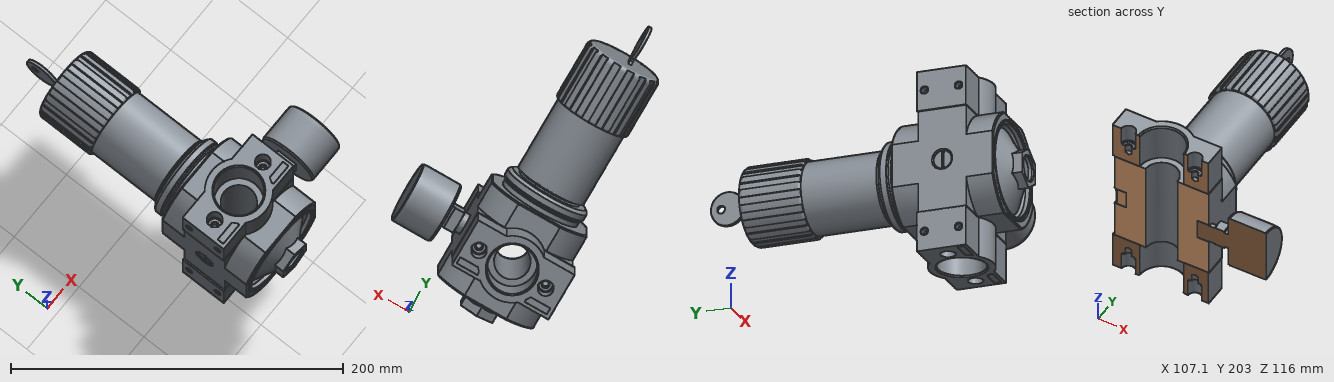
import cadquery as cq
import math


HOUSING_HALF_X = 33.0
HOUSING_HALF_Y = 33.0
HOUSING_HALF_Z = 32.7
HOUSING_RADIUS = 35.75
HOUSING_BAND_WIDTH = 31.0
HOUSING_EDGE_CHAMFER = 0.8
FLOW_BORE_DIAMETER = 22.0

PLATE_END_Z = 58.0
PLATE_MIN_X = -34.2
PLATE_MAX_X = 32.7
PLATE_WIDTH = 31.6
PLATE_BOSS_RADIUS = 20.45
PORT_DIAMETER = 30.29
PORT_CHAMFER = 0.9
SCREW_SPACING_X = 46.2
SCREW_HEAD_DIAMETER = 9.6
SCREW_HEAD_DEPTH = 12.0
SCREW_SEAT_DIAMETER = 8.5
SCREW_SEAT_DEPTH = 1.0
SCREW_HOLE_MOUTH_DIAMETER = 5.0
SCREW_HOLE_DIAMETER = 4.13
SCREW_HOLE_DEPTH = 5.0
SIDE_HOLE_SPACING_Y = 22.0
SIDE_HOLE_Z = 45.7
SIDE_HOLE_DIAMETER = 4.13
SIDE_HOLE_MOUTH_DIAMETER = 5.0
SIDE_HOLE_DEPTH = 5.0
DRILL_TIP_ANGLE = 118.0

LABEL_DEPTH = 0.3
LABEL_TOP_Y = -9.2
LABEL_BOTTOM_Y = -13.5
LABEL_INNER_X = 16.4
LABEL_SLANT_X = 1.8
LABEL_SLANT_Y = 2.8
LABEL_LEFT_END_X = 31.7
LABEL_RIGHT_END_X = 30.8

CAP_RADIUS = 30.2
CAP_MOUTH_CHAMFER = 0.8
CAP_RIM_CHAMFER = 0.5
CAP_RIM_INNER_RADIUS = 28.6
CAP_WALL_FOOT_Y = -29.9
CAP_RIM_Y = -32.6
CAP_BACK_Y = -20.0
CONE_OUTER_RADIUS = 26.9
CONE_OUTER_Y = -28.2
CONE_SLOPE = 0.583
CAP_HEX_ACROSS_FLATS = 22.0
CAP_HEX_END_Y = -43.0
CAP_SOCKET_DIAMETER = 14.95
CAP_SOCKET_MOUTH_DIAMETER = 16.66
CAP_SOCKET_DEPTH = 3.0

NUT_COLLAR_RADIUS = 27.4
NUT_COLLAR_TOP_Y = 44.3
NUT_COLLAR_BOTTOM_Y = 38.4
NUT_BEVEL_LENGTH = 1.0
NUT_BEVEL_OUTER_DEPTH = 0.8
NUT_BEVEL_INNER_DEPTH = 1.4
NUT_LIP_WIDTH = 1.2
NUT_LIP_HEIGHT = 1.1
NUT_STEP_RADIUS = 26.5
NUT_STEP_TAPER_Y = 37.2
NUT_STEP_BOTTOM_Y = 36.1
NUT_FOOT_RADIUS = 25.8

BONNET_NECK_DIAMETER = 39.0
BONNET_SHOULDER_Y = 46.5
BONNET_RADIUS = 22.75

KNOB_BOTTOM_Y = 94.9
KNOB_TOP_Y = 135.2
KNOB_RADIUS = 24.6
KNOB_TOP_FILLET = 3.2
KNOB_BOTTOM_FILLET = 1.8
KNOB_GROOVE_FLOOR_RADIUS = 23.5
KNOB_GROOVES = 16
GROOVE_CUT_MARGIN = 1.0

KEY_END_Y = 160.0
KEY_RADIUS = 10.75
KEY_THICKNESS = 2.0
KEY_MID_X = -3.4
KEY_HOLE_DIAMETER = 5.0
KEY_HOLE_Y = 153.4
KEY_NECK_UPPER_Z = 3.4
KEY_NECK_LOWER_Z = -4.7
KEY_FLARE_LENGTH = 2.0
KEY_FLARE_DEPTH = 1.3

STEM_DIAMETER = 13.16
STEM_HOLE_DEPTH = 8.0
GAUGE_SQUARE_START_X = 37.0
GAUGE_SQUARE_WIDTH = 13.9
GAUGE_FLATS_START_X = 43.6
GAUGE_FLATS_WIDTH = 11.7
GAUGE_CASE_START_X = 46.3
GAUGE_END_X = 72.9
GAUGE_RADIUS = 19.5
GAUGE_BACK_CHAMFER_LENGTH = 1.2
GAUGE_BACK_CHAMFER_DEPTH = 0.6
GAUGE_BEZEL_X = 69.6
GAUGE_BEZEL_TAPER = 0.2
GAUGE_FRONT_CHAMFER = 0.5
PLUG_DIAMETER = 11.45
PLUG_MOUTH_DIAMETER = STEM_DIAMETER
PLUG_HOLE_DEPTH = 8.0
PLUG_SLOT_LENGTH = 9.5
PLUG_SLOT_WIDTH = 1.4
PLUG_SLOT_DEPTH = 1.0


def turned_about_y(points):
    """Solid of revolution about Y from (radius, y) points."""
    return cq.Workplane("XY").polyline(points).close().revolve(360, (0, 0, 0), (0, 1, 0))


def turned_about_x(points):
    """Solid of revolution about X from (x, radius) points."""
    return cq.Workplane("XY").polyline(points).close().revolve(360, (0, 0, 0), (1, 0, 0))


def box_between(x_range, y_range, z_range):
    size = [high - low for low, high in (x_range, y_range, z_range)]
    return cq.Workplane("XY").box(*size, centered=False).translate((x_range[0], y_range[0], z_range[0]))


def drill_tip_height(radius):
    return radius / math.tan(math.radians(DRILL_TIP_ANGLE / 2))


def make_housing():
    core = turned_about_y([
        (0, -HOUSING_HALF_Y),
        (HOUSING_RADIUS, -HOUSING_HALF_Y),
        (HOUSING_RADIUS, HOUSING_HALF_Y),
        (0, HOUSING_HALF_Y),
    ])
    core = core.intersect(
        cq.Workplane("XY").box(2 * HOUSING_HALF_X, 2 * HOUSING_HALF_Y, 2 * HOUSING_HALF_Z)
    )
    core = core.faces("<Y or >Y").chamfer(HOUSING_EDGE_CHAMFER)
    band = cq.Workplane("XY").box(2 * HOUSING_HALF_X, HOUSING_BAND_WIDTH, 2 * HOUSING_HALF_Z)
    flow_bore = cq.Workplane("XY").circle(FLOW_BORE_DIAMETER / 2).extrude(HOUSING_HALF_Z, both=True)
    cap_seat = turned_about_y([
        (0, CAP_BACK_Y),
        (CAP_RADIUS, CAP_BACK_Y),
        (CAP_RADIUS, CAP_MOUTH_CHAMFER - HOUSING_HALF_Y),
        (CAP_RADIUS + CAP_MOUTH_CHAMFER, -HOUSING_HALF_Y),
        (0, -HOUSING_HALF_Y),
    ])
    stem_hole = turned_about_x([
        (HOUSING_HALF_X - STEM_HOLE_DEPTH, 0),
        (HOUSING_HALF_X - STEM_HOLE_DEPTH, STEM_DIAMETER / 2),
        (HOUSING_HALF_X, STEM_DIAMETER / 2),
        (HOUSING_HALF_X, 0),
    ])
    plug_chamfer = (PLUG_MOUTH_DIAMETER - PLUG_DIAMETER) / 2
    plug_hole = turned_about_x([
        (-HOUSING_HALF_X, 0),
        (-HOUSING_HALF_X, PLUG_MOUTH_DIAMETER / 2),
        (plug_chamfer - HOUSING_HALF_X, PLUG_DIAMETER / 2),
        (PLUG_HOLE_DEPTH - HOUSING_HALF_X, PLUG_DIAMETER / 2),
        (PLUG_HOLE_DEPTH - HOUSING_HALF_X, 0),
    ])
    return core.union(band).cut(flow_bore).cut(cap_seat).cut(stem_hole).cut(plug_hole)


def screw_hole(x):
    """Stepped blind hole from the plate end, closed by a drill tip."""
    seat_z = PLATE_END_Z - SCREW_HEAD_DEPTH
    hole_top_z = seat_z - SCREW_SEAT_DEPTH
    hole_bottom_z = hole_top_z - SCREW_HOLE_DEPTH
    hole_radius = SCREW_HOLE_DIAMETER / 2
    mouth_radius = SCREW_HOLE_MOUTH_DIAMETER / 2
    profile = cq.Workplane("XZ").polyline([
        (0, PLATE_END_Z),
        (SCREW_HEAD_DIAMETER / 2, PLATE_END_Z),
        (SCREW_HEAD_DIAMETER / 2, seat_z),
        (SCREW_SEAT_DIAMETER / 2, seat_z),
        (SCREW_SEAT_DIAMETER / 2, hole_top_z),
        (mouth_radius, hole_top_z),
        (hole_radius, hole_top_z - (mouth_radius - hole_radius)),
        (hole_radius, hole_bottom_z),
        (0, hole_bottom_z - drill_tip_height(hole_radius)),
    ])
    return profile.close().revolve(360, (0, 0, 0), (0, 1, 0)).translate((x, 0, 0))


def side_hole(y):
    """Chamfered blind hole in the -X face of a plate."""
    radius = SIDE_HOLE_DIAMETER / 2
    mouth_radius = SIDE_HOLE_MOUTH_DIAMETER / 2
    bottom_x = PLATE_MIN_X + SIDE_HOLE_DEPTH
    hole = turned_about_x([
        (PLATE_MIN_X, 0),
        (PLATE_MIN_X, mouth_radius),
        (PLATE_MIN_X + mouth_radius - radius, radius),
        (bottom_x, radius),
        (bottom_x + drill_tip_height(radius), 0),
    ])
    return hole.translate((0, y, SIDE_HOLE_Z))


def label_field(side, end_x):
    """Shallow field on one side of the port with a slanted end facing the port."""
    outline = cq.Workplane("XY").polyline([
        (side * end_x, LABEL_TOP_Y),
        (side * (LABEL_INNER_X + LABEL_SLANT_X), LABEL_TOP_Y),
        (side * LABEL_INNER_X, LABEL_TOP_Y - LABEL_SLANT_Y),
        (side * LABEL_INNER_X, LABEL_BOTTOM_Y),
        (side * end_x, LABEL_BOTTOM_Y),
    ])
    return outline.close().extrude(LABEL_DEPTH).translate((0, 0, PLATE_END_Z - LABEL_DEPTH))


def make_upper_plate():
    z_range = (HOUSING_HALF_Z, PLATE_END_Z)
    thickness = PLATE_END_Z - HOUSING_HALF_Z
    plate = box_between((PLATE_MIN_X, PLATE_MAX_X), (-PLATE_WIDTH / 2, PLATE_WIDTH / 2), z_range)
    boss = cq.Workplane("XY", origin=(0, 0, HOUSING_HALF_Z)).circle(PLATE_BOSS_RADIUS).extrude(thickness)
    port = cq.Workplane("XY", origin=(0, 0, HOUSING_HALF_Z)).circle(PORT_DIAMETER / 2).extrude(thickness)
    port_mouth = (
        cq.Workplane("XY", origin=(0, 0, PLATE_END_Z - PORT_CHAMFER))
        .circle(PORT_DIAMETER / 2)
        .workplane(offset=PORT_CHAMFER)
        .circle(PORT_DIAMETER / 2 + PORT_CHAMFER)
        .loft()
    )
    plate = plate.union(boss).cut(port).cut(port_mouth)
    for side, label_end_x in ((-1, LABEL_LEFT_END_X), (1, LABEL_RIGHT_END_X)):
        plate = plate.cut(screw_hole(side * SCREW_SPACING_X / 2))
        plate = plate.cut(side_hole(side * SIDE_HOLE_SPACING_Y / 2))
        plate = plate.cut(label_field(side, label_end_x))
    return plate


def make_cap():
    hex_corner_radius = CAP_HEX_ACROSS_FLATS / math.sqrt(3)
    cone_tip_y = CONE_OUTER_Y - CONE_SLOPE * (CONE_OUTER_RADIUS - CAP_HEX_ACROSS_FLATS / 2)
    body = turned_about_y([
        (0, CAP_BACK_Y),
        (CAP_RADIUS, CAP_BACK_Y),
        (CAP_RADIUS, CAP_RIM_Y + CAP_RIM_CHAMFER),
        (CAP_RADIUS - CAP_RIM_CHAMFER, CAP_RIM_Y),
        (CAP_RIM_INNER_RADIUS, CAP_RIM_Y),
        (CAP_RIM_INNER_RADIUS, CAP_WALL_FOOT_Y),
        (CONE_OUTER_RADIUS, CONE_OUTER_Y),
        (CAP_HEX_ACROSS_FLATS / 2, cone_tip_y),
        (0, cone_tip_y),
    ])
    hexagon = (
        cq.Workplane("XZ", origin=(0, CONE_OUTER_Y, 0))
        .transformed(rotate=(0, 0, 90))
        .polygon(6, 2 * hex_corner_radius)
        .extrude(CONE_OUTER_Y - CAP_HEX_END_Y)
    )
    mouth_chamfer = (CAP_SOCKET_MOUTH_DIAMETER - CAP_SOCKET_DIAMETER) / 2
    socket = turned_about_y([
        (0, CAP_HEX_END_Y),
        (CAP_SOCKET_MOUTH_DIAMETER / 2, CAP_HEX_END_Y),
        (CAP_SOCKET_DIAMETER / 2, CAP_HEX_END_Y + mouth_chamfer),
        (CAP_SOCKET_DIAMETER / 2, CAP_HEX_END_Y + CAP_SOCKET_DEPTH),
        (0, CAP_HEX_END_Y + CAP_SOCKET_DEPTH),
    ])
    return body.union(hexagon).cut(socket)


def make_union_nut():
    """Ring with a two-step bevel on its collar and a conical lip around the bonnet neck."""
    bore_radius = BONNET_NECK_DIAMETER / 2
    bevel_mid_radius = NUT_COLLAR_RADIUS - NUT_BEVEL_OUTER_DEPTH
    return turned_about_y([
        (bore_radius, HOUSING_HALF_Y),
        (NUT_FOOT_RADIUS, HOUSING_HALF_Y),
        (NUT_FOOT_RADIUS, NUT_STEP_BOTTOM_Y),
        (NUT_STEP_RADIUS, NUT_STEP_TAPER_Y),
        (NUT_STEP_RADIUS, NUT_COLLAR_BOTTOM_Y),
        (NUT_COLLAR_RADIUS, NUT_COLLAR_BOTTOM_Y),
        (NUT_COLLAR_RADIUS, NUT_COLLAR_TOP_Y - 2 * NUT_BEVEL_LENGTH),
        (bevel_mid_radius, NUT_COLLAR_TOP_Y - NUT_BEVEL_LENGTH),
        (bevel_mid_radius - NUT_BEVEL_INNER_DEPTH, NUT_COLLAR_TOP_Y),
        (bore_radius + NUT_LIP_WIDTH, NUT_COLLAR_TOP_Y),
        (bore_radius, NUT_COLLAR_TOP_Y + NUT_LIP_HEIGHT),
    ])


def make_bonnet():
    return turned_about_y([
        (0, HOUSING_HALF_Y),
        (BONNET_NECK_DIAMETER / 2, HOUSING_HALF_Y),
        (BONNET_NECK_DIAMETER / 2, BONNET_SHOULDER_Y),
        (BONNET_RADIUS, BONNET_SHOULDER_Y),
        (BONNET_RADIUS, KNOB_BOTTOM_Y),
        (0, KNOB_BOTTOM_Y),
    ])


def make_knob():
    """Ribbed knob; ribs and grooves are equally wide, and a rib faces each of +X, -X, +Z and -Z."""
    knob = turned_about_y([
        (0, KNOB_BOTTOM_Y),
        (KNOB_RADIUS, KNOB_BOTTOM_Y),
        (KNOB_RADIUS, KNOB_TOP_Y),
        (0, KNOB_TOP_Y),
    ])
    knob = knob.faces(">Y").edges().fillet(KNOB_TOP_FILLET)
    knob = knob.faces("<Y").edges().fillet(KNOB_BOTTOM_FILLET)
    pitch_angle = 360 / KNOB_GROOVES
    groove = (
        cq.Workplane("XY")
        .moveTo(KNOB_GROOVE_FLOOR_RADIUS, KNOB_BOTTOM_Y)
        .lineTo(KNOB_RADIUS + GROOVE_CUT_MARGIN, KNOB_BOTTOM_Y)
        .lineTo(KNOB_RADIUS + GROOVE_CUT_MARGIN, KNOB_TOP_Y)
        .lineTo(KNOB_GROOVE_FLOOR_RADIUS, KNOB_TOP_Y)
        .close()
        .revolve(pitch_angle / 2, (0, 0, 0), (0, 1, 0))
    )
    for index in range(KNOB_GROOVES):
        start_angle = index * pitch_angle + pitch_angle / 4
        knob = knob.cut(groove.rotate((0, 0, 0), (0, 1, 0), start_angle))
    return knob


def make_key():
    """Flat key: a round bow running into the neck along 45 degree tangents."""
    bow_y = KEY_END_Y - KEY_RADIUS
    tangent_offset = KEY_RADIUS / math.sqrt(2)
    tangent_y = bow_y - tangent_offset
    tangent_reach = KEY_RADIUS * math.sqrt(2)
    upper_corner_y = bow_y - (tangent_reach - KEY_NECK_UPPER_Z)
    lower_corner_y = bow_y - (tangent_reach + KEY_NECK_LOWER_Z)
    outline = (
        cq.Workplane("YZ", origin=(KEY_MID_X, 0, 0))
        .moveTo(tangent_y, tangent_offset)
        .threePointArc((KEY_END_Y, 0), (tangent_y, -tangent_offset))
        .lineTo(lower_corner_y, KEY_NECK_LOWER_Z)
        .lineTo(KNOB_TOP_Y + KEY_FLARE_LENGTH, KEY_NECK_LOWER_Z)
        .lineTo(KNOB_TOP_Y, KEY_NECK_LOWER_Z - KEY_FLARE_DEPTH)
        .lineTo(KNOB_TOP_Y, KEY_NECK_UPPER_Z)
        .lineTo(upper_corner_y, KEY_NECK_UPPER_Z)
        .close()
    )
    blade = outline.extrude(KEY_THICKNESS / 2, both=True)
    hole = (
        cq.Workplane("YZ", origin=(KEY_MID_X, KEY_HOLE_Y, 0))
        .circle(KEY_HOLE_DIAMETER / 2)
        .extrude(KEY_THICKNESS, both=True)
    )
    return blade.cut(hole)


def make_gauge():
    stem = turned_about_x([
        (HOUSING_HALF_X - STEM_HOLE_DEPTH, 0),
        (HOUSING_HALF_X - STEM_HOLE_DEPTH, STEM_DIAMETER / 2),
        (GAUGE_SQUARE_START_X, STEM_DIAMETER / 2),
        (GAUGE_SQUARE_START_X, 0),
    ])
    half_square = GAUGE_SQUARE_WIDTH / 2
    half_flats = GAUGE_FLATS_WIDTH / 2
    square = box_between(
        (GAUGE_SQUARE_START_X, GAUGE_FLATS_START_X),
        (-half_square, half_square),
        (-half_square, half_square),
    )
    flats = box_between(
        (GAUGE_FLATS_START_X, GAUGE_CASE_START_X),
        (-half_square, half_square),
        (-half_flats, half_flats),
    )
    bezel_radius = GAUGE_RADIUS - GAUGE_BEZEL_TAPER
    case = turned_about_x([
        (GAUGE_CASE_START_X, 0),
        (GAUGE_CASE_START_X, GAUGE_RADIUS - GAUGE_BACK_CHAMFER_DEPTH),
        (GAUGE_CASE_START_X + GAUGE_BACK_CHAMFER_LENGTH, GAUGE_RADIUS),
        (GAUGE_BEZEL_X, GAUGE_RADIUS),
        (GAUGE_END_X - GAUGE_FRONT_CHAMFER, bezel_radius),
        (GAUGE_END_X, bezel_radius - GAUGE_FRONT_CHAMFER),
        (GAUGE_END_X, 0),
    ])
    return stem.union(square).union(flats).union(case)


def make_plug():
    """Slotted blanking plug, its face level with the foot of the hole chamfer."""
    plug_chamfer = (PLUG_MOUTH_DIAMETER - PLUG_DIAMETER) / 2
    face_x = plug_chamfer - HOUSING_HALF_X
    plug = (
        cq.Workplane("YZ", origin=(face_x, 0, 0))
        .circle(PLUG_DIAMETER / 2)
        .extrude(PLUG_HOLE_DEPTH - plug_chamfer)
    )
    slot = (
        cq.Workplane("YZ", origin=(face_x, 0, 0))
        .rect(PLUG_SLOT_WIDTH, PLUG_SLOT_LENGTH)
        .extrude(PLUG_SLOT_DEPTH)
    )
    return plug.cut(slot)


housing = make_housing()
upper_plate = make_upper_plate()
lower_plate = upper_plate.mirror("XY")
cap = make_cap()
union_nut = make_union_nut()
bonnet = make_bonnet()
knob = make_knob()
key = make_key()
gauge = make_gauge()
plug = make_plug()

bodies = [housing, upper_plate, lower_plate, cap, union_nut, bonnet, knob, key, gauge, plug]
result = cq.Compound.makeCompound([body.val() for body in bodies])